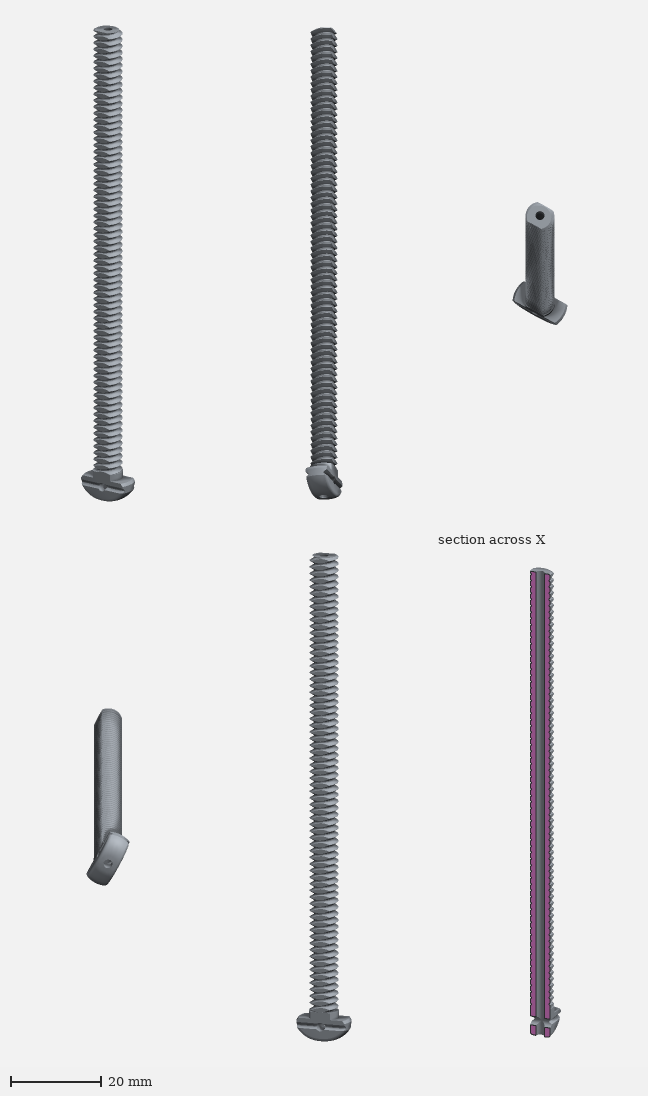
import cadquery as cq
import math

length = 110.0
slab_thickness = 5.0
half_slab = slab_thickness / 2

head_diameter = 12.2
head_height = 5.2
dome_diameter = 11.9
dome_arc_radius = 5.7
dome_edge_fillet = 0.7
rim_chamfer_width = 0.4
rim_chamfer_height = 0.7

collar_diameter = 6.7
collar_top = 6.7

thread_length = 103.5
turns = 69
pitch = thread_length / turns
thread_diameter = 6.4
root_diameter = 4.5
crest_width = 0.09
root_gap = 0.2
first_crest = 0.38

bore_diameter = 2.0
cross_hole_height = 3.4

groove_top = 4.2
groove_bottom = 2.9
groove_floor_top = 3.5
groove_floor_bottom = 3.3
groove_depth = 0.8


def make_slab(width, bottom, top):
    slab = cq.Workplane("XY").box(width, slab_thickness, top - bottom, centered=(True, True, False))
    return slab.translate((0, 0, bottom))


def make_thread_turn():
    """One pitch of thread, flattened on both sides, standing on Z = 0."""
    root_radius = root_diameter / 2
    crest_radius = thread_diameter / 2
    half_crest = crest_width / 2
    half_root = (pitch - root_gap) / 2
    flank_slope = (half_root - half_crest) / (crest_radius - root_radius)

    base_gap = root_gap / 2
    half_base = (pitch - base_gap) / 2
    embedded = (half_base - half_root) / flank_slope
    base_radius = root_radius - embedded

    swept_height = 4 * pitch
    start = first_crest - 2 * pitch
    helix = cq.Wire.makeHelix(pitch, swept_height, root_radius, center=cq.Vector(0, 0, start))
    ridge = (
        cq.Workplane("XZ")
        .polyline(
            [
                (base_radius, start - half_base),
                (crest_radius, start - half_crest),
                (crest_radius, start + half_crest),
                (base_radius, start + half_base),
            ]
        )
        .close()
        .sweep(cq.Workplane(helix), isFrenet=True)
    )
    seam_angle = 30
    core = cq.Workplane("XY").circle(root_radius).extrude(swept_height)
    core = core.rotate((0, 0, 0), (0, 0, 1), seam_angle).translate((0, 0, start))
    return core.union(ridge).intersect(make_slab(head_diameter, 0, pitch))


def make_thread():
    """Stacks the skins of identical turns and closes the stack at both ends."""
    turn = make_thread_turn()
    bottom_end = turn.faces("<Z").vals()
    top_end = turn.faces(">Z").vals()
    side_faces = turn.faces("not(<Z or >Z)").vals()
    top_lift = cq.Vector(0, 0, (turns - 1) * pitch)
    skin = bottom_end + [face.translate(top_lift) for face in top_end]
    for index in range(turns):
        lift = cq.Vector(0, 0, index * pitch)
        skin += [face.translate(lift) for face in side_faces]
    solid = cq.Solid.makeSolid(cq.Shell.makeShell(skin))
    return cq.Workplane("XY").add(solid).translate((0, 0, length - thread_length))


def make_head():
    radius = head_diameter / 2
    bottom_flat = bore_diameter / 2
    arc_end = math.asin((dome_diameter / 2 - bottom_flat) / dome_arc_radius)

    def dome_point(angle):
        return (
            bottom_flat + dome_arc_radius * math.sin(angle),
            dome_arc_radius * (1 - math.cos(angle)),
        )

    head = (
        cq.Workplane("XZ")
        .lineTo(*dome_point(0))
        .threePointArc(dome_point(arc_end / 2), dome_point(arc_end))
        .lineTo(radius, head_height - rim_chamfer_height)
        .lineTo(radius - rim_chamfer_width, head_height)
        .lineTo(0, head_height)
        .close()
        .revolve(360, (0, 0, 0), (0, 1, 0))
    )
    slab = make_slab(head_diameter, 0, length)
    head = head.intersect(slab)
    head = head.faces("|Y").edges("<Z").fillet(dome_edge_fillet)
    collar = cq.Workplane("XY").workplane(offset=head_height)
    collar = collar.circle(collar_diameter / 2).extrude(collar_top - head_height)
    return head.union(collar.intersect(slab))


def make_groove():
    floor = half_slab - groove_depth
    return (
        cq.Workplane("YZ")
        .polyline(
            [
                (half_slab, groove_bottom),
                (floor, groove_floor_bottom),
                (floor, groove_floor_top),
                (half_slab, groove_top),
            ]
        )
        .close()
        .extrude(head_diameter, both=True)
    )


bore = cq.Workplane("XY").circle(bore_diameter / 2).extrude(length)
cross_hole = cq.Workplane("XZ", origin=(0, 0, cross_hole_height))
cross_hole = cross_hole.circle(bore_diameter / 2).extrude(slab_thickness, both=True)
groove = make_groove()

screw = make_head().cut(groove).cut(groove.mirror("XZ"))
screw = screw.union(make_thread())
screw = screw.cut(bore).cut(cross_hole)
result = cq.Workplane("XY").add(screw.solids().val())